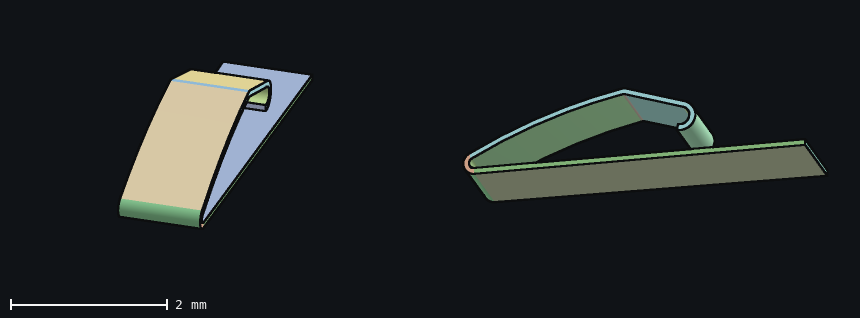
import cadquery as cq
import math

thickness = 0.08
overall_length = 4.5
overall_height = 1.0

base_end_width = 1.2
bend_width = 1.1
free_width = 2 * bend_width - base_end_width

bend_radius = 0.15
knee_radius = 0.15
hook_radius = 0.2

bow_start_slope = 28.5
bow_end_slope = 11.0
arm_slope = 17.0

arm_length = 0.79
hook_end_angle = -103.0

base_length = overall_length - bend_radius
bow_start_angle = 90.0 + bow_start_slope
bow_end_angle = 90.0 + bow_end_slope
arm_angle = 90.0 - arm_slope
bow_start_sin = math.sin(math.radians(bow_start_angle))
bow_end_sin = math.sin(math.radians(bow_end_angle))
bow_rise = overall_height - knee_radius - bend_radius
bow_radius = (bow_rise + knee_radius * bow_end_sin - bend_radius * bow_start_sin) / (
    bow_end_sin - bow_start_sin
)


def polar(center, radius, angle):
    """Point at a radius and angle (degrees from +Y towards +Z) about a centre."""
    turn = math.radians(angle)
    return (center[0] + radius * math.cos(turn), center[1] + radius * math.sin(turn))


bend_center = (0.0, bend_radius)
bow_center = polar(bend_center, bend_radius - bow_radius, bow_start_angle)
knee_center = polar(bow_center, bow_radius - knee_radius, bow_end_angle)
arm_end = polar(knee_center, arm_length, -arm_slope)
hook_center = polar(arm_end, knee_radius - hook_radius, arm_angle)

bends = [
    (bend_center, bend_radius, 270.0, bow_start_angle),
    (bow_center, bow_radius, bow_start_angle, bow_end_angle),
    (knee_center, knee_radius, bow_end_angle, arm_angle),
    (hook_center, hook_radius, arm_angle, hook_end_angle),
]


def arc_points(center, radius, start, end):
    """Start, middle and end point of an arc."""
    return [polar(center, radius, angle) for angle in (start, (start + end) / 2, end)]


def make_spring():
    """Bend, bowed leg, knee, arm and hook as one constant-thickness band."""
    bend, bow, knee, hook = [arc_points(*item) for item in bends]
    inner_bend, inner_bow, inner_knee, inner_hook = [
        arc_points(center, radius - thickness, end, start) for center, radius, start, end in bends
    ]
    outline = (
        cq.Workplane("YZ")
        .moveTo(*bend[0])
        .threePointArc(*bend[1:])
        .threePointArc(*bow[1:])
        .threePointArc(*knee[1:])
        .lineTo(*hook[0])
        .threePointArc(*hook[1:])
        .lineTo(*inner_hook[0])
        .threePointArc(*inner_hook[1:])
        .lineTo(*inner_knee[0])
        .threePointArc(*inner_knee[1:])
        .threePointArc(*inner_bow[1:])
        .threePointArc(*inner_bend[1:])
        .close()
    )
    return outline.extrude(bend_width / 2, both=True)


def taper_plan(start, end_width):
    """Plan outline from the bend width at Y = start to the end width at the base's free end."""
    corners = [
        (-bend_width / 2, start),
        (bend_width / 2, start),
        (end_width / 2, base_length),
        (-end_width / 2, base_length),
    ]
    return cq.Workplane("XY").polyline(corners).close()


def make_base():
    """Flat base, widening away from the bend."""
    return taper_plan(0, base_end_width).extrude(thickness)


def bend_block(length, height):
    """Full-width block from the outside of the bend towards the base."""
    block = cq.Workplane("XY").box(bend_width, length, height, centered=(True, False, False))
    return block.translate((0, -bend_radius, 0))


def make_taper_envelope():
    """Block of constant width around the bend that narrows from the foot of the bowed leg."""
    leg_start = polar(bend_center, bend_radius - thickness / 2, bow_start_angle)[0]
    tapered = taper_plan(leg_start, free_width).extrude(overall_height)
    leg_foot = bend_block(bend_radius + leg_start, overall_height)
    lower_bend = bend_block(bend_radius, bend_radius)
    return tapered.union(leg_foot).union(lower_bend)


result = make_base().union(make_spring().intersect(make_taper_envelope()))